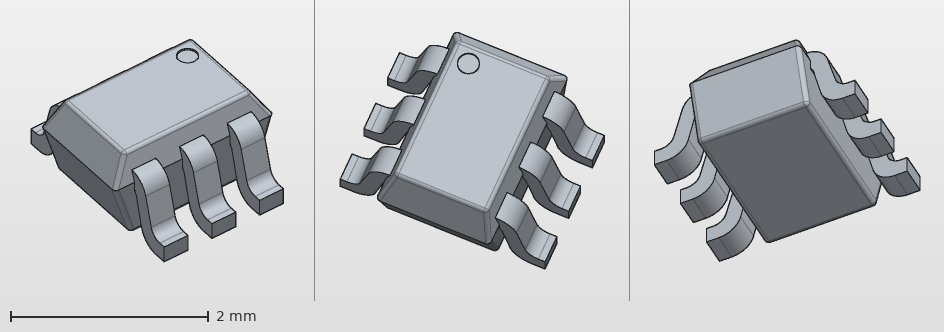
import cadquery as cq
import math

body_width = 1.255
body_length = 2.0
body_bottom = 0.05
parting_height = 0.716
body_top = 1.05
top_width = 1.017
end_face_length = 1.59
edge_radius = 0.05

mark_radius = 0.11
mark_x = -0.307
mark_y = 0.61
mark_depth = 0.02

overall_width = 2.26
lead_thickness = 0.2
lead_width = 0.3
lead_pitch = 0.601
lead_top = 0.85
inner_bend_radius = 0.15
outer_bend_radius = 0.25
upper_foot_flat = 0.075
lower_foot_flat = 0.14
upper_shank_angle = 75.0
lower_shank_angle = 76.5
lead_anchor_x = 0.497


def body_half(bottom_size, top_size, bottom, top):
    """Tapered block between two rectangles, each given as (width, length)."""
    return (
        cq.Workplane("XY", origin=(0, 0, bottom))
        .rect(*bottom_size)
        .workplane(offset=top - bottom)
        .rect(*top_size)
        .loft(ruled=True, combine=True)
    )


def make_body():
    """Two tapered halves meeting at a sharp parting line, other edges rounded."""
    parting_size = (body_width, body_length)
    lower = body_half((body_width, end_face_length), parting_size, body_bottom, parting_height)
    upper = body_half(parting_size, (top_width, end_face_length), parting_height, body_top)
    lower = lower.edges("not >Z").fillet(edge_radius)
    upper = upper.edges("not <Z").fillet(edge_radius)
    return lower.union(upper)


def arc_point(center, radius, degrees):
    """Point on a circle in the XZ plane."""
    angle = math.radians(degrees)
    return (center[0] + radius * math.cos(angle), center[1] + radius * math.sin(angle))


def s_bend(foot_flat, foot_z, shoulder_z, foot_radius, shoulder_radius, slope):
    """Start, middle and end points of the foot arc and of the shoulder arc.

    The straight shank between the arcs is tangent to both of them.
    """
    turn = math.radians(slope)
    foot_center = (foot_flat - overall_width / 2, foot_z + foot_radius)
    center_rise = shoulder_z - shoulder_radius - foot_center[1]
    radii_sum = foot_radius + shoulder_radius
    center_run = (radii_sum + center_rise * math.cos(turn)) / math.sin(turn)
    shoulder_center = (foot_center[0] + center_run, shoulder_z - shoulder_radius)
    foot_arc = [arc_point(foot_center, foot_radius, angle - 90) for angle in (0, slope / 2, slope)]
    shoulder_arc = [
        arc_point(shoulder_center, shoulder_radius, angle + 90) for angle in (slope, slope / 2, 0)
    ]
    return foot_arc, shoulder_arc


def make_lead(y):
    """Left-hand lead centred at the given Y."""
    toe_x = -overall_width / 2
    lower_foot, lower_shoulder = s_bend(
        lower_foot_flat, 0, lead_top - lead_thickness,
        outer_bend_radius, inner_bend_radius, lower_shank_angle,
    )
    upper_foot, upper_shoulder = s_bend(
        upper_foot_flat, lead_thickness, lead_top,
        inner_bend_radius, outer_bend_radius, upper_shank_angle,
    )
    return (
        cq.Workplane("XZ", origin=(0, y + lead_width / 2, 0))
        .moveTo(toe_x, 0)
        .lineTo(*lower_foot[0])
        .threePointArc(*lower_foot[1:])
        .lineTo(*lower_shoulder[0])
        .threePointArc(*lower_shoulder[1:])
        .lineTo(-lead_anchor_x, lead_top - lead_thickness)
        .lineTo(-lead_anchor_x, lead_top)
        .lineTo(*upper_shoulder[2])
        .threePointArc(*upper_shoulder[1::-1])
        .lineTo(*upper_foot[2])
        .threePointArc(*upper_foot[1::-1])
        .lineTo(toe_x, lead_thickness)
        .close()
        .extrude(lead_width)
    )


def make_pin_mark():
    """Shallow round recess beside pin 1."""
    return (
        cq.Workplane("XY", origin=(mark_x, mark_y, body_top - mark_depth))
        .circle(mark_radius)
        .extrude(mark_depth)
    )


result = make_body()
for y in (-lead_pitch, 0, lead_pitch):
    lead = make_lead(y)
    result = result.union(lead).union(lead.mirror("YZ"))
result = result.cut(make_pin_mark())